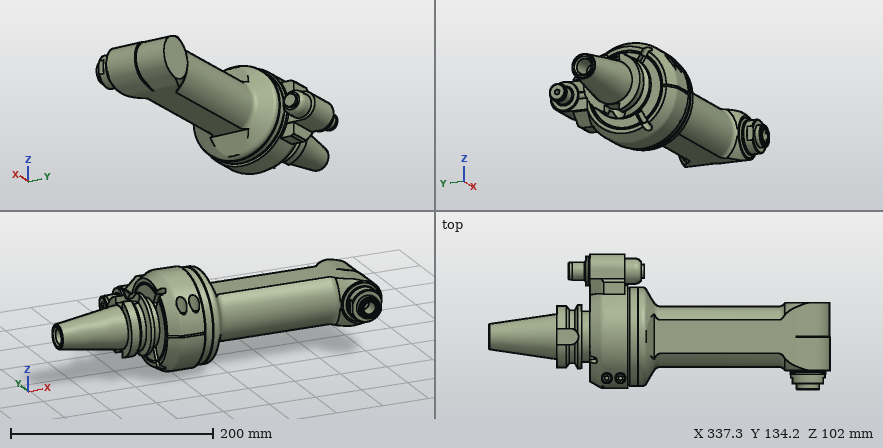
import cadquery as cq
import math


TAPER_LENGTH = 65.4
GAUGE_RADIUS = 22.2
TAPER_SMALL_RADIUS = 12.7
TAPER_END_CHAMFER = 0.8
FLANGE_START = 1.8
FLANGE_RADIUS = 30.6
FLANGE_FRONT_END = 11.0
GROOVE_START = 14.3
GROOVE_END = 19.6
GROOVE_RADIUS = 26.4
COLLAR_START = 22.6
COLLAR_END = 26.3
COLLAR_RADIUS = 31.5
NECK_RADIUS = 25.2
KEYWAY_WIDTH = 16.1
KEYWAY_FLOOR = 22.6
KEYWAY_END = 23.3
PULL_STUD_MOUTH_RADIUS = 10.0
PULL_STUD_MOUTH_DEPTH = 2.0
PULL_STUD_BORE_RADIUS = 8.0
PULL_STUD_BORE_DEPTH = 25.0
PULL_STUD_PILOT_RADIUS = 5.0
PULL_STUD_PILOT_DEPTH = 32.0

RING_FRONT = 34.4
RING_BACK = 72.0
RING_RADIUS = 51.0
RING_FACE_RADIUS = 44.3
RING_CONE_END = 44.8
RING_CONE_END_RADIUS = 50.2
RING_ROUND_END = 48.4
RING_BORE_RADIUS = 38.4
RING_BORE_CHAMFER = 1.8
SLIT_WIDTH = 2.0

ARM_BACK = 69.0
ARM_TOP = 29.4
ARM_INNER = 15.6
ARM_FRONT_TOP = 16.2
ARM_OUTER_Y = 57.0
ARM_CHAMFER_Y = 3.4
ARM_CHAMFER_Z = 1.6
SEAT_Y = 41.5

NOTCH_ANGLES = (0, 120, 240)
NOTCH_WIDTH = 7.0
NOTCH_LIP = 0.1
NOTCH_CENTER_X = RING_FRONT + NOTCH_LIP + NOTCH_WIDTH / 2
NOTCH_FLOOR = NOTCH_CENTER_X + NOTCH_WIDTH / 2

SCREW_XS = (51.2, 64.7)
SCREW_Y = -41.0
SCREW_SEAT_Z = 15.0
SCREW_HEAD_RADIUS = 8.5 / 2
SCREW_HEAD_HEIGHT = 5.0
SCREW_SHANK_RADIUS = 5.0 / 2
SCREW_TIP_Z = -14.0
SCREW_SOCKET_WIDTH = 4.2
SCREW_SOCKET_DEPTH = 2.5
SCREW_BORE_RADIUS = 10.4 / 2

BLOCK_OUTER_Y = 81.6
BLOCK_HALF_HEIGHT = 15.0
PIN_Y = 64.7
PIN_RADIUS = 9.0
PIN_FRONT = 13.2
PIN_TIP_RADIUS = 8.7
PIN_TIP_END = 17.1
PIN_CHAMFER = 1.0
PIN_STEM_END = 28.8
PIN_COLLAR_START = 30.4
PIN_COLLAR_RADIUS = 14.6
PIN_COLLAR_CHAMFER = 1.5
PIN_BACK_RADIUS = 12.7
PIN_BACK_END = 77.4
PIN_DOME_END = 85.3
PIN_DOME_END_RADIUS = 9.0
PIN_DOME_MIDDLE = (81.9, 12.0)
PIN_CAP_RADIUS = 6.8
PIN_CAP_END = 88.3
PIN_HOLE_RADIUS = 2.5
PIN_HOLE_DEPTH = 10.0
ROD_INNER_Y = 32.7

SHOULDER_START = 73.8
SHOULDER_RADIUS = 49.0
SHOULDER_UNDERCUT_RADIUS = 48.0
SHOULDER_GROOVE_X = 81.7
SHOULDER_GROOVE_WIDTH = 0.7
SHOULDER_GROOVE_DEPTH = 0.6
SHOULDER_ROUND_START = 86.0
SHOULDER_CONE_START = (90.2, 46.6)
SHOULDER_CONE_END = (98.0, 33.5)
SHANK_START = 104.5
SHANK_RADIUS = 30.0
SHANK_HALF_HEIGHT = 25.0
SHANK_FLAT_START = 98.0

HEAD_X = 249.9
OVERALL_LENGTH = 337.32
HEAD_END = OVERALL_LENGTH - TAPER_LENGTH
HEAD_RADIUS = HEAD_END - HEAD_X
HEAD_HALF_WIDTH = 33.6
HEAD_BACK_STEP = 0.5
HEAD_SLOPE_CORNER = 240.9
HEAD_CORNER_SETBACK = 2.7
HEAD_GROOVE_WIDTH = 0.8
HEAD_GROOVE_DEPTH = 1.5
HEAD_RECESS_RADIUS = 20.1
HEAD_RECESS_DEPTH = 0.5
FLARE_START = 221.2
FLARE_JOIN_X = 227.0
FLARE_RADIUS = math.hypot(HEAD_RADIUS, HEAD_HALF_WIDTH)

NUT_NECK_RADIUS = 13.0
NUT_COLLAR_START = 35.4
NUT_COLLAR_END = 37.1
NUT_COLLAR_RADIUS = 17.4
NUT_BARREL_RADIUS = 17.0
NUT_BARREL_END = 46.7
NUT_BARREL_CHAMFER = 0.8
NUT_FLATS_START = 40.6
NUT_FLATS_WIDTH = 30.8
NUT_TIP_RADIUS = 11.4
NUT_TIP_CHAMFER = 1.0
OVERALL_WIDTH = 134.25
NUT_END = OVERALL_WIDTH - BLOCK_OUTER_Y
COLLET_BORE_RADIUS = 13.0 / 2
COLLET_BORE_DEPTH = 15.0
COLLET_RADIUS = 7.8
COLLET_RECESS_RADIUS = 9.8
COLLET_RECESS_DEPTH = 2.0


def turn_about_x(outline):
    """Revolve an (x, radius) outline about the spindle axis."""
    return outline.close().revolve(360, (0, 0, 0), (1, 0, 0))


def box(x_range, y_range, z_range):
    """Axis-aligned box from its lower and upper limits."""
    limits = (x_range, y_range, z_range)
    sizes = [high - low for low, high in limits]
    corner = tuple(low for low, high in limits)
    return cq.Workplane("XY").box(*sizes, centered=False).translate(corner)


def x_cylinder(radius, start, end, y=0.0):
    return cq.Workplane("YZ", origin=(start, y, 0)).circle(radius).extrude(end - start)


def y_cylinder(radius, start, end, x):
    return cq.Workplane("XZ", origin=(x, start, 0)).circle(radius).extrude(start - end)


def z_cylinder(radius, start, end, x, y):
    return cq.Workplane("XY", origin=(x, y, start)).circle(radius).extrude(end - start)


def round_notch(inner_y, outer_y):
    """U-shaped notch along Y, open towards -X."""
    half = NOTCH_WIDTH / 2
    notch = y_cylinder(half, inner_y, outer_y, NOTCH_CENTER_X)
    return notch.union(box((PIN_COLLAR_START, NOTCH_CENTER_X), (inner_y, outer_y), (-half, half)))


def make_arbor():
    small_end = -TAPER_LENGTH
    bore_end = small_end + PULL_STUD_BORE_DEPTH
    pilot_end = small_end + PULL_STUD_PILOT_DEPTH
    outline = (
        cq.Workplane("XY")
        .moveTo(small_end, PULL_STUD_MOUTH_RADIUS)
        .lineTo(small_end, TAPER_SMALL_RADIUS - TAPER_END_CHAMFER)
        .lineTo(small_end + TAPER_END_CHAMFER, TAPER_SMALL_RADIUS)
        .lineTo(0, GAUGE_RADIUS)
        .lineTo(FLANGE_START, GAUGE_RADIUS)
        .lineTo(FLANGE_START, FLANGE_RADIUS)
        .lineTo(FLANGE_FRONT_END, FLANGE_RADIUS)
        .lineTo(GROOVE_START, GROOVE_RADIUS)
        .lineTo(GROOVE_END, GROOVE_RADIUS)
        .lineTo(COLLAR_START, COLLAR_RADIUS)
        .lineTo(COLLAR_END, COLLAR_RADIUS)
        .lineTo(COLLAR_END, NECK_RADIUS)
        .lineTo(RING_FRONT, NECK_RADIUS)
        .lineTo(RING_FRONT, 0)
        .lineTo(pilot_end + PULL_STUD_PILOT_RADIUS, 0)
        .lineTo(pilot_end, PULL_STUD_PILOT_RADIUS)
        .lineTo(bore_end, PULL_STUD_PILOT_RADIUS)
        .lineTo(bore_end, PULL_STUD_BORE_RADIUS)
        .lineTo(small_end + PULL_STUD_MOUTH_DEPTH, PULL_STUD_BORE_RADIUS)
    )
    arbor = turn_about_x(outline)
    half = KEYWAY_WIDTH / 2
    round_x = KEYWAY_END - half
    for low, high in ((KEYWAY_FLOOR, RING_RADIUS), (-RING_RADIUS, -KEYWAY_FLOOR)):
        arbor = arbor.cut(box((0, round_x), (-half, half), (low, high)))
        arbor = arbor.cut(z_cylinder(half, low, high, round_x, 0))
    return arbor


def make_screw(x):
    head_top = SCREW_SEAT_Z + SCREW_HEAD_HEIGHT
    screw = z_cylinder(SCREW_SHANK_RADIUS, SCREW_TIP_Z, SCREW_SEAT_Z, x, SCREW_Y)
    screw = screw.union(z_cylinder(SCREW_HEAD_RADIUS, SCREW_SEAT_Z, head_top, x, SCREW_Y))
    socket = (
        cq.Workplane("XY", origin=(x, SCREW_Y, head_top - SCREW_SOCKET_DEPTH))
        .polygon(6, SCREW_SOCKET_WIDTH, circumscribed=True)
        .extrude(SCREW_SOCKET_DEPTH)
    )
    return screw.cut(socket)


def make_arm():
    """Upper arm: its sloped front follows the ring's front cone, and its outer edge is chamfered."""
    slope_top = ARM_FRONT_TOP + RING_CONE_END - RING_FRONT
    arm = (
        cq.Workplane("XZ", origin=(0, ARM_OUTER_Y, 0))
        .moveTo(RING_FRONT, ARM_INNER)
        .lineTo(RING_FRONT, ARM_FRONT_TOP)
        .lineTo(RING_CONE_END, slope_top)
        .tangentArcPoint((RING_ROUND_END, ARM_TOP), relative=False)
        .lineTo(ARM_BACK, ARM_TOP)
        .lineTo(ARM_BACK, ARM_INNER)
        .close()
        .extrude(ARM_OUTER_Y - SEAT_Y + NOTCH_WIDTH)
    )
    arm = arm.cut(x_cylinder(RING_FACE_RADIUS, RING_FRONT, ARM_BACK))
    chamfer = (
        cq.Workplane("YZ", origin=(RING_FRONT, 0, 0))
        .moveTo(ARM_OUTER_Y, ARM_TOP)
        .lineTo(ARM_OUTER_Y - ARM_CHAMFER_Y, ARM_TOP)
        .lineTo(ARM_OUTER_Y, ARM_TOP - ARM_CHAMFER_Z)
        .close()
        .extrude(ARM_BACK - RING_FRONT)
    )
    return arm.cut(chamfer)


def make_ring():
    outline = (
        cq.Workplane("XY")
        .moveTo(RING_FRONT, RING_BORE_RADIUS + RING_BORE_CHAMFER)
        .lineTo(RING_FRONT, RING_FACE_RADIUS)
        .lineTo(RING_CONE_END, RING_CONE_END_RADIUS)
        .tangentArcPoint((RING_ROUND_END, RING_RADIUS), relative=False)
        .lineTo(RING_BACK, RING_RADIUS)
        .lineTo(RING_BACK, RING_BORE_RADIUS)
        .lineTo(RING_FRONT + RING_BORE_CHAMFER, RING_BORE_RADIUS)
    )
    ring = turn_about_x(outline)
    arm = make_arm()
    ring = ring.union(arm).union(arm.mirror("XY"))
    ring = ring.cut(box((RING_FRONT, ARM_BACK), (SEAT_Y, BLOCK_OUTER_Y), (-ARM_INNER, ARM_INNER)))
    half_slit = SLIT_WIDTH / 2
    ring = ring.cut(box((RING_FRONT, RING_BACK), (-RING_RADIUS, -NECK_RADIUS), (-half_slit, half_slit)))
    notch = round_notch(NECK_RADIUS, RING_RADIUS)
    for angle in NOTCH_ANGLES:
        ring = ring.cut(notch.rotate((0, 0, 0), (1, 0, 0), angle))
    for x in SCREW_XS:
        ring = ring.cut(z_cylinder(SCREW_SHANK_RADIUS, SCREW_TIP_Z, SCREW_SEAT_Z, x, SCREW_Y))
        ring = ring.cut(z_cylinder(SCREW_BORE_RADIUS, SCREW_SEAT_Z, RING_RADIUS, x, SCREW_Y))
    return ring


def make_stop_block():
    round_y = BLOCK_OUTER_Y - BLOCK_HALF_HEIGHT
    block = (
        cq.Workplane("YZ", origin=(RING_FRONT, 0, 0))
        .moveTo(SEAT_Y, -BLOCK_HALF_HEIGHT)
        .lineTo(round_y, -BLOCK_HALF_HEIGHT)
        .threePointArc((BLOCK_OUTER_Y, 0), (round_y, BLOCK_HALF_HEIGHT))
        .lineTo(SEAT_Y, BLOCK_HALF_HEIGHT)
        .close()
        .extrude(ARM_BACK - RING_FRONT)
    )
    block = block.cut(x_cylinder(PIN_RADIUS, RING_FRONT, ARM_BACK, PIN_Y))
    return block.cut(round_notch(SEAT_Y, PIN_Y))


def make_stop_pin():
    outline = (
        cq.Workplane("XY")
        .moveTo(PIN_FRONT, PIN_HOLE_RADIUS)
        .lineTo(PIN_FRONT, PIN_TIP_RADIUS - PIN_CHAMFER)
        .lineTo(PIN_FRONT + PIN_CHAMFER, PIN_TIP_RADIUS)
        .lineTo(PIN_TIP_END, PIN_TIP_RADIUS)
        .lineTo(PIN_TIP_END, PIN_RADIUS)
        .lineTo(PIN_STEM_END, PIN_RADIUS)
        .lineTo(PIN_COLLAR_START, PIN_RADIUS + PIN_CHAMFER)
        .lineTo(PIN_COLLAR_START, PIN_COLLAR_RADIUS)
        .lineTo(RING_FRONT - PIN_COLLAR_CHAMFER, PIN_COLLAR_RADIUS)
        .lineTo(RING_FRONT, PIN_COLLAR_RADIUS - PIN_COLLAR_CHAMFER)
        .lineTo(RING_FRONT, PIN_RADIUS)
        .lineTo(ARM_BACK, PIN_RADIUS)
        .lineTo(ARM_BACK, PIN_BACK_RADIUS)
        .lineTo(PIN_BACK_END, PIN_BACK_RADIUS)
        .threePointArc(PIN_DOME_MIDDLE, (PIN_DOME_END, PIN_DOME_END_RADIUS))
        .lineTo(PIN_DOME_END, PIN_CAP_RADIUS)
        .lineTo(PIN_CAP_END, PIN_CAP_RADIUS)
        .lineTo(PIN_CAP_END, 0)
        .lineTo(PIN_FRONT + PIN_HOLE_DEPTH, 0)
        .lineTo(PIN_FRONT + PIN_HOLE_DEPTH, PIN_HOLE_RADIUS)
    )
    pin = turn_about_x(outline).translate((0, PIN_Y, 0))
    return pin.union(y_cylinder(NOTCH_WIDTH / 2, ROD_INNER_Y, PIN_Y, NOTCH_CENTER_X))


def make_shank():
    """Turned nose, shoulder and shank, with the shank flattened above and below."""
    groove_floor = SHOULDER_RADIUS - SHOULDER_GROOVE_DEPTH
    groove_end = SHOULDER_GROOVE_X + SHOULDER_GROOVE_WIDTH
    outline = (
        cq.Workplane("XY")
        .moveTo(RING_FRONT, 0)
        .lineTo(RING_FRONT, RING_BORE_RADIUS)
        .lineTo(RING_BACK, RING_BORE_RADIUS)
        .lineTo(RING_BACK, SHOULDER_UNDERCUT_RADIUS)
        .lineTo(SHOULDER_START, SHOULDER_UNDERCUT_RADIUS)
        .lineTo(SHOULDER_START, SHOULDER_RADIUS)
        .lineTo(SHOULDER_GROOVE_X, SHOULDER_RADIUS)
        .lineTo(SHOULDER_GROOVE_X, groove_floor)
        .lineTo(groove_end, groove_floor)
        .lineTo(groove_end, SHOULDER_RADIUS)
        .lineTo(SHOULDER_ROUND_START, SHOULDER_RADIUS)
        .tangentArcPoint(SHOULDER_CONE_START, relative=False)
        .lineTo(*SHOULDER_CONE_END)
        .tangentArcPoint((SHANK_START, SHANK_RADIUS), relative=False)
        .lineTo(FLARE_JOIN_X, SHANK_RADIUS)
        .lineTo(FLARE_JOIN_X, 0)
    )
    flat_cut = (
        cq.Workplane("XZ")
        .moveTo(SHOULDER_CONE_START[0], SHOULDER_CONE_START[1])
        .lineTo(SHANK_FLAT_START, SHANK_HALF_HEIGHT)
        .lineTo(FLARE_JOIN_X, SHANK_HALF_HEIGHT)
        .lineTo(FLARE_JOIN_X, SHOULDER_CONE_START[1])
        .close()
        .extrude(SHOULDER_RADIUS, both=True)
    )
    return turn_about_x(outline).cut(flat_cut).cut(flat_cut.mirror("XY"))


def head_slab(end_radius, y_start, y_end):
    """Part of the gear head: flat top and bottom, sloping in to a round end about the output axis."""
    corner_distance = math.hypot(HEAD_X - HEAD_SLOPE_CORNER, SHANK_HALF_HEIGHT)
    corner_angle = math.atan2(SHANK_HALF_HEIGHT, HEAD_SLOPE_CORNER - HEAD_X)
    tangent_angle = corner_angle - math.acos(end_radius / corner_distance)
    tangent_x = HEAD_X + end_radius * math.cos(tangent_angle)
    tangent_z = end_radius * math.sin(tangent_angle)
    round_start = HEAD_SLOPE_CORNER - HEAD_CORNER_SETBACK
    round_end_x = HEAD_SLOPE_CORNER + HEAD_CORNER_SETBACK * math.sin(tangent_angle)
    round_end_z = SHANK_HALF_HEIGHT - HEAD_CORNER_SETBACK * math.cos(tangent_angle)
    return (
        cq.Workplane("XZ", origin=(0, y_end, 0))
        .moveTo(FLARE_START, SHANK_HALF_HEIGHT)
        .lineTo(round_start, SHANK_HALF_HEIGHT)
        .tangentArcPoint((round_end_x, round_end_z), relative=False)
        .lineTo(tangent_x, tangent_z)
        .threePointArc((HEAD_X + end_radius, 0), (tangent_x, -tangent_z))
        .lineTo(round_end_x, -round_end_z)
        .tangentArcPoint((round_start, -SHANK_HALF_HEIGHT), relative=False)
        .lineTo(FLARE_START, -SHANK_HALF_HEIGHT)
        .close()
        .extrude(y_end - y_start)
    )


def make_head():
    """Gear head whose shank side is trimmed by a turned, domed flare."""
    half_groove = HEAD_GROOVE_WIDTH / 2
    recess_floor = HEAD_RECESS_DEPTH - HEAD_HALF_WIDTH
    front = head_slab(HEAD_RADIUS, -HEAD_HALF_WIDTH, -half_groove)
    front = front.cut(y_cylinder(HEAD_RECESS_RADIUS, -HEAD_HALF_WIDTH, recess_floor, HEAD_X))
    groove_floor = head_slab(HEAD_RADIUS - HEAD_GROOVE_DEPTH, -half_groove, half_groove)
    back = head_slab(HEAD_RADIUS - HEAD_BACK_STEP, half_groove, HEAD_HALF_WIDTH)
    join_angle = math.acos((HEAD_X - FLARE_JOIN_X) / FLARE_RADIUS)
    join_radius = FLARE_RADIUS * math.sin(join_angle)
    middle_angle = (join_angle + math.pi / 2) / 2
    middle_x = HEAD_X - FLARE_RADIUS * math.cos(middle_angle)
    middle_radius = FLARE_RADIUS * math.sin(middle_angle)
    flare = turn_about_x(
        cq.Workplane("XY")
        .moveTo(SHANK_START, 0)
        .lineTo(SHANK_START, SHANK_RADIUS)
        .lineTo(FLARE_START, SHANK_RADIUS)
        .tangentArcPoint((FLARE_JOIN_X, join_radius), relative=False)
        .threePointArc((middle_x, middle_radius), (HEAD_X, FLARE_RADIUS))
        .lineTo(HEAD_END, FLARE_RADIUS)
        .lineTo(HEAD_END, 0)
    )
    return front.union(groove_floor).union(back).intersect(flare)


def make_body():
    body = make_shank().union(make_head())
    half = NOTCH_WIDTH / 2
    notch = box((RING_FRONT, NOTCH_FLOOR), (NECK_RADIUS, RING_BORE_RADIUS), (-half, half))
    for angle in NOTCH_ANGLES:
        body = body.cut(notch.rotate((0, 0, 0), (1, 0, 0), angle))
    return body


def make_output_nut():
    seat_y = HEAD_RECESS_DEPTH - HEAD_HALF_WIDTH
    nut = y_cylinder(NUT_NECK_RADIUS, -NUT_COLLAR_START, seat_y, HEAD_X)
    nut = nut.union(y_cylinder(NUT_COLLAR_RADIUS, -NUT_COLLAR_END, -NUT_COLLAR_START, HEAD_X))
    barrel = y_cylinder(NUT_BARREL_RADIUS, -NUT_BARREL_END, -NUT_COLLAR_END, HEAD_X)
    barrel = barrel.faces("<Y").chamfer(NUT_BARREL_CHAMFER)
    half_flats = NUT_FLATS_WIDTH / 2
    flat_depth = NUT_BARREL_RADIUS - half_flats
    flats_y = (-NUT_BARREL_END, -NUT_FLATS_START)
    flats_z = (-NUT_BARREL_RADIUS, NUT_BARREL_RADIUS)
    for flat_x in (HEAD_X + half_flats, HEAD_X - NUT_BARREL_RADIUS):
        barrel = barrel.cut(box((flat_x, flat_x + flat_depth), flats_y, flats_z))
    tip = y_cylinder(NUT_TIP_RADIUS, -NUT_END, -NUT_BARREL_END, HEAD_X)
    tip = tip.faces("<Y").chamfer(NUT_TIP_CHAMFER)
    nut = nut.union(barrel).union(tip)
    recess_y = (-NUT_END, COLLET_RECESS_DEPTH - NUT_END)
    recess = y_cylinder(COLLET_RECESS_RADIUS, *recess_y, HEAD_X)
    nut = nut.cut(recess.cut(y_cylinder(COLLET_RADIUS, *recess_y, HEAD_X)))
    return nut.cut(y_cylinder(COLLET_BORE_RADIUS, -NUT_END, COLLET_BORE_DEPTH - NUT_END, HEAD_X))


arbor = make_arbor()
ring = make_ring()
screws = [make_screw(x) for x in SCREW_XS]
stop_block = make_stop_block()
stop_pin = make_stop_pin()
body = make_body()
output_nut = make_output_nut()

result = cq.Compound.makeCompound(
    [
        arbor.val(),
        ring.val(),
        *[screw.val() for screw in screws],
        stop_block.val(),
        stop_pin.val(),
        body.val(),
        output_nut.val(),
    ]
)